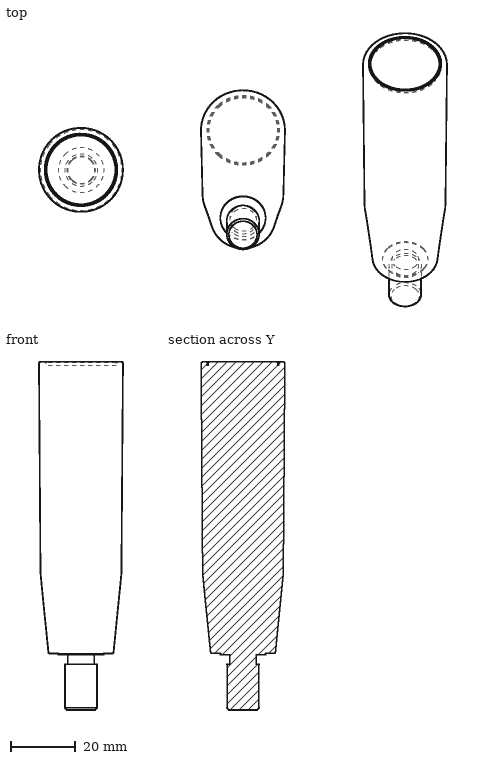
import cadquery as cq

total_height = 107.4
seam_height = 42.0
grip_bottom = 17.4
collar_bottom = 17.0
pin_shoulder = 14.2

top_diameter = 26.0
seam_diameter = 25.0
grip_bottom_diameter = 20.1
collar_diameter = 14.0
neck_diameter = 8.3
pin_diameter = 10.0
pin_tip_diameter = 8.7
groove_outer_diameter = 22.0
groove_inner_diameter = 21.6

top_fillet = 0.5
bottom_fillet = 0.5
groove_depth = 1.1
groove_chamfer = 0.2
pin_chamfer = (pin_diameter - pin_tip_diameter) / 2


def cylinder(diameter, bottom, top):
    """Upright cylinder on the part axis between two heights."""
    return cq.Workplane("XY").workplane(offset=bottom).circle(diameter / 2).extrude(top - bottom)


def revolve_outline(outline):
    """Solid swept by a closed (radius, height) outline around the part axis."""
    return cq.Workplane("XZ").polyline(outline).close().revolve(360, (0, 0), (0, 1))


def make_grip():
    """Two stacked cones meeting at the seam, with rounded end edges."""
    outline = [
        (0, grip_bottom),
        (grip_bottom_diameter / 2, grip_bottom),
        (seam_diameter / 2, seam_height),
        (top_diameter / 2, total_height),
        (0, total_height),
    ]
    grip = revolve_outline(outline)
    return grip.faces(">Z").edges().fillet(top_fillet).faces("<Z").edges().fillet(bottom_fillet)


def make_pin():
    """Chamfered pin with a thinner neck and the low collar below the grip."""
    pin = cylinder(pin_diameter, 0, pin_shoulder).faces("<Z").chamfer(pin_chamfer)
    neck = cylinder(neck_diameter, pin_shoulder, collar_bottom)
    collar = cylinder(collar_diameter, collar_bottom, grip_bottom)
    return pin.union(neck).union(collar)


def make_cap_groove():
    """Narrow ring around the flat cap, with both upper edges chamfered."""
    inner_radius = groove_inner_diameter / 2
    outer_radius = groove_outer_diameter / 2
    floor = total_height - groove_depth
    chamfer_start = total_height - groove_chamfer
    outline = [
        (inner_radius, floor),
        (outer_radius, floor),
        (outer_radius, chamfer_start),
        (outer_radius + groove_chamfer, total_height),
        (inner_radius - groove_chamfer, total_height),
        (inner_radius, chamfer_start),
    ]
    return revolve_outline(outline)


result = make_grip().union(make_pin()).cut(make_cap_groove())